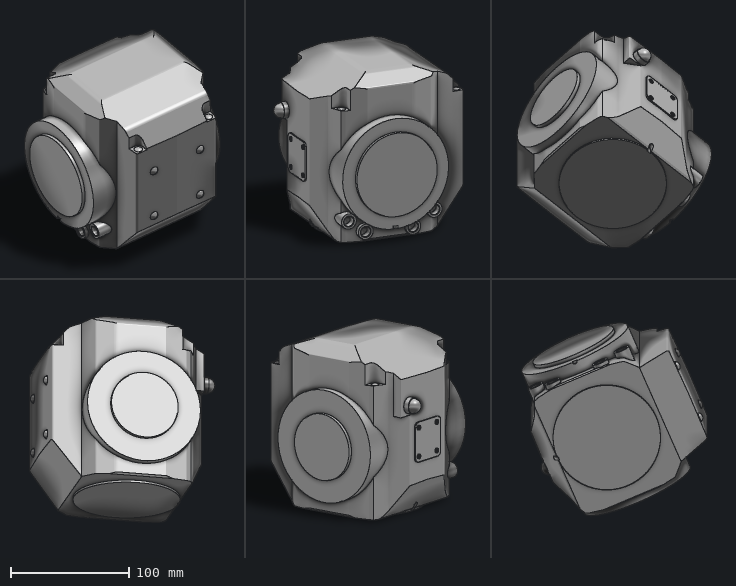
import cadquery as cq
import math

LARGE = 296.8

top_z = 85.9
base_z = -60.1
half_depth = 57.7
side_crown = 0.6
left_crest_x = -60.3
right_crest_x = 75.4
left_x = left_crest_x + side_crown
right_x = right_crest_x - side_crown
left_half_depth = 23.7
right_half_depth = 41.8
flank_slope = math.tan(math.radians(10))
front_flat_left_x = -21.0
front_flat_right_x = 22.1
left_flank_x = -49.3
left_flank_half_depth = 39.8
left_facet_outer_x = -43.5
left_facet_outer_half_depth = 53.0
left_facet_inner_x = -39.6
right_corner_x = 39.3
right_flank_x = 49.4
right_flank_half_depth = 44.4
left_edge_radius = 1.0
front_edge_radius = 22.3
right_corner_radius = 2.2
right_edge_radius = 2.0
roof_radius = 10.4
roof_end_radius = 8.6
eave_radius = 2.1
roof_left_x = -16.8
roof_right_x = 26.1
roof_half_depth = 44.1
roof_front_angle = 38.0
roof_left_angle = 30.0
roof_right_angle = 20.0
shoulder_x = 59.5
left_cut_z = -32.5
right_cut_z = -26.7
base_left_x = -45.4
base_bevel_left_x = -46.9
base_right_x = 49.3
base_bevel_y = 1.0
base_bevel_z = 1.8

lamp_block_end_y = 35.9
lamp_block_inner_x = -51.3
lamp_block_bottom_z = 28.0
lamp_y = 25.0
lamp_z = 37.1
lamp_collar_radius = 7.1
lamp_collar_x = -64.3
lamp_dome_radius = 6.5

flange_radius = 49.0
flange_front_y = -68.5
flange_back_y = 64.9
front_cap_radius = 37.1
front_cap_y = -71.7
back_cap_radius = 29.0
back_cap_y = 68.3
flange_notch_radius = 2.1
flange_notch_top_z = -46.3

pocket_floor_z = 57.0
pocket_block = 74.2
pocket_bolt_radius = 3.5
pocket_bolt_height = 1.3
left_pocket = dict(edge_x=-35.9, edge_y=42.7, radius=5.0, bolt_x=-41.1, bolt_y=48.1, side=-1)
right_pocket = dict(edge_x=64.7, edge_y=31.8, radius=5.0, bolt_x=69.9, bolt_y=37.0, side=1)

side_bolt_radius = 4.0
side_bolt_tip_x = right_crest_x + 2.2
side_bolt_half_pitch = 24.2
side_bolt_mid_z = 6.8

plate_size = 35.0
plate_mid_z = 2.5
plate_corner_radius = 4.5
plate_outer_x = -61.1
plate_screw_half_pitch = 12.5
plate_screw_radius = 2.1
plate_socket_radius = 1.2
plate_ring_depth = 0.7

boss_radius = 6.8
boss_face_y = -60.7
boss_root_y = -37.1
boss_hole_radius = 4.5
boss_hole_depth = 7.4
boss_hole_edge = 0.5
boss_hole_point_slope = math.tan(math.radians(30))
boss_centres = [(-39.6, -39.5), (-24.0, -50.8), (19.9, -52.1), (39.6, -39.5)]

foot_radius = 45.4
foot_bottom_z = -62.0
foot_slot_radius = 2.0
foot_slot_top_z = -54.5
foot_slot_floor_x = -44.5


def rounded_outline(plane, corners):
    """Closed outline through (u, v, radius) corners, each non-zero radius being a tangent arc."""
    outline = cq.Workplane(plane)
    for index, (u, v, radius) in enumerate(corners):
        corner = cq.Vector(u, v)
        before = (cq.Vector(*corners[index - 1][:2]) - corner).normalized()
        after = (cq.Vector(*corners[(index + 1) % len(corners)][:2]) - corner).normalized()
        half_angle = before.getAngle(after) / 2
        tangent = radius / math.tan(half_angle)
        start = corner + before * tangent
        end = corner + after * tangent
        bisector = (before + after).normalized() if radius else before
        middle = corner + bisector * (radius / math.sin(half_angle) - radius)
        if index == 0:
            outline = outline.moveTo(start.x, start.y)
        else:
            outline = outline.lineTo(start.x, start.y)
        if radius:
            outline = outline.threePointArc((middle.x, middle.y), (end.x, end.y))
    return outline.close()


def bar_y(radius, x, z, y_start, y_end):
    """Round bar along Y between two Y positions."""
    length = y_end - y_start
    return cq.Workplane(cq.Solid.makeCylinder(radius, length, cq.Vector(x, y_start, z), cq.Vector(0, 1, 0)))


def bar_x(radius, y, z, x_start, x_end):
    """Round bar along X between two X positions."""
    length = x_end - x_start
    return cq.Workplane(cq.Solid.makeCylinder(radius, length, cq.Vector(x_start, y, z), cq.Vector(1, 0, 0)))


def cap_middle(radius, height):
    """Point halfway along the arc from the base circle to the tip of a spherical cap."""
    sphere_radius = (radius**2 + height**2) / (2 * height)
    half_angle = math.asin(min(1, radius / sphere_radius)) / 2
    return (
        sphere_radius * math.sin(half_angle),
        height - sphere_radius * (1 - math.cos(half_angle)),
    )


def dome(radius, height, centre, direction):
    """Spherical cap standing on its base circle, bulging along the direction."""
    cap = (
        cq.Workplane("XZ")
        .lineTo(radius, 0)
        .threePointArc(cap_middle(radius, height), (0, height))
        .close()
        .revolve(360, (0, 0), (0, 1))
    )
    return cq.Workplane(cap.val().located(cq.Plane(origin=centre, normal=direction).location))


def make_lamp_block():
    """Carries the left face on past its back edge, above the step below the lamp."""
    end_x = left_crest_x + side_crown * lamp_block_end_y / left_half_depth
    block = rounded_outline("XY", [
        (left_crest_x, 0, 0),
        (end_x, lamp_block_end_y, left_edge_radius),
        (lamp_block_inner_x, lamp_block_end_y, 0),
        (lamp_block_inner_x, 0, 0),
    ]).extrude(LARGE)
    return block.translate((0, 0, lamp_block_bottom_z))


def make_housing():
    """Common volume of the plan, front and side profiles of the housing."""
    left_facet_y = half_depth - (front_flat_left_x - left_facet_inner_x) * flank_slope
    right_corner_y = half_depth - (right_corner_x - front_flat_right_x) * flank_slope
    back_half = [
        (left_x, left_half_depth, left_edge_radius),
        (left_flank_x, left_flank_half_depth, 0),
        (left_facet_outer_x, left_facet_outer_half_depth, 0),
        (left_facet_inner_x, left_facet_y, 0),
        (front_flat_left_x, half_depth, 0),
        (front_flat_right_x, half_depth, front_edge_radius),
        (right_corner_x, right_corner_y, right_corner_radius),
        (right_flank_x, right_flank_half_depth, 0),
        (right_x, right_half_depth, right_edge_radius),
    ]
    front_half = [(x, -y, radius) for x, y, radius in reversed(back_half)]
    left_crest = (left_crest_x, 0, 0)
    right_crest = (right_crest_x, 0, 0)
    plan = rounded_outline("XY", [left_crest, *back_half, right_crest, *front_half])
    plan = plan.extrude(LARGE, both=True)
    plan = plan.union(make_lamp_block()).clean()

    left_eave_z = top_z - (roof_left_x - left_crest_x) * math.tan(math.radians(roof_left_angle))
    shoulder_z = top_z - (shoulder_x - roof_right_x) * math.tan(math.radians(roof_right_angle))
    right_eave_z = shoulder_z - (right_crest_x - shoulder_x)
    front_profile = rounded_outline("XZ", [
        (base_left_x, base_z, 0),
        (base_bevel_left_x, base_z + base_bevel_z, 0),
        (left_crest_x, left_cut_z, 0),
        (left_crest_x, left_eave_z, 0),
        (roof_left_x, top_z, roof_radius),
        (roof_right_x, top_z, roof_radius),
        (shoulder_x, shoulder_z, roof_radius),
        (right_crest_x, right_eave_z, 0),
        (right_crest_x, right_cut_z, 0),
        (base_right_x, base_z, 0),
    ]).extrude(LARGE, both=True)

    eave_z = top_z - (half_depth - roof_half_depth) * math.tan(math.radians(roof_front_angle))
    back_edge = [
        (roof_half_depth, top_z, roof_end_radius),
        (half_depth, eave_z, eave_radius),
        (half_depth, base_z + base_bevel_z, 0),
        (half_depth - base_bevel_y, base_z, 0),
    ]
    front_edge = [(-y, z, radius) for y, z, radius in reversed(back_edge)]
    side_profile = rounded_outline("YZ", back_edge + front_edge).extrude(LARGE, both=True)
    return plan.intersect(front_profile).intersect(side_profile)


def make_flanges():
    flanges = bar_y(flange_radius, 0, 0, flange_front_y, flange_back_y)
    flanges = flanges.union(bar_y(front_cap_radius, 0, 0, front_cap_y, 0))
    flanges = flanges.union(bar_y(back_cap_radius, 0, 0, 0, back_cap_y))
    notch = (
        cq.Workplane("XY", origin=(0, flange_front_y, flange_notch_top_z))
        .circle(flange_notch_radius)
        .extrude(-flange_radius - flange_notch_top_z)
    )
    return flanges.cut(notch)


def make_pocket(pocket, end):
    """Pocket open to the roof and both outer sides; end is +1 at the back, -1 at the front."""
    return (
        cq.Workplane("XY", origin=(
            pocket["edge_x"] + pocket["side"] * pocket_block / 2,
            end * (pocket["edge_y"] + pocket_block / 2),
            pocket_floor_z,
        ))
        .rect(pocket_block, pocket_block)
        .extrude(pocket_block)
        .edges("|Z")
        .fillet(pocket["radius"])
    )


def make_lamp():
    collar = bar_x(lamp_collar_radius, lamp_y, lamp_z, lamp_collar_x, lamp_block_inner_x)
    dome_seat = (lamp_collar_x, lamp_y, lamp_z)
    return collar.union(dome(lamp_dome_radius, lamp_dome_radius, dome_seat, (-1, 0, 0)))


def make_cover_plate():
    thickness = left_x - plate_outer_x
    plate = (
        cq.Workplane("YZ", origin=(plate_outer_x, 0, plate_mid_z))
        .rect(plate_size, plate_size)
        .extrude(thickness)
        .edges("|X")
        .fillet(plate_corner_radius)
    )
    rings = (
        cq.Workplane("YZ", origin=(plate_outer_x, 0, plate_mid_z))
        .rect(2 * plate_screw_half_pitch, 2 * plate_screw_half_pitch, forConstruction=True)
        .vertices()
        .circle(plate_screw_radius)
        .circle(plate_socket_radius)
        .extrude(plate_ring_depth)
    )
    return plate.cut(rings)


def make_boss(x, z):
    return bar_y(boss_radius, x, z, boss_face_y, boss_root_y)


def make_boss_hole(x, z):
    """Blind hole with a bevelled rim and a conical drill point."""
    rim_radius = boss_hole_radius + boss_hole_edge
    drill_point = boss_hole_radius * boss_hole_point_slope
    return (
        cq.Workplane("XY", origin=(x, boss_face_y, z))
        .lineTo(rim_radius, 0)
        .lineTo(boss_hole_radius, boss_hole_edge)
        .lineTo(boss_hole_radius, boss_hole_depth)
        .lineTo(0, boss_hole_depth + drill_point)
        .close()
        .revolve(360, (0, 0), (0, 1))
    )


def make_foot():
    height = base_z - foot_bottom_z
    return cq.Workplane("XY", origin=(0, 0, foot_bottom_z)).circle(foot_radius).extrude(height)


def make_foot_slot():
    """Round-topped slot through the left edge of the foot and the lower left cut."""
    centre_z = foot_slot_top_z - foot_slot_radius
    slot_start_x = left_crest_x
    slot = bar_x(foot_slot_radius, 0, centre_z, slot_start_x, foot_slot_floor_x)
    length = foot_slot_floor_x - slot_start_x
    leg = cq.Workplane("XY", origin=(slot_start_x + length / 2, 0, foot_bottom_z)).box(
        length, 2 * foot_slot_radius, centre_z - foot_bottom_z, centered=(True, True, False)
    )
    return slot.union(leg)


body = make_housing()
for corner_pocket in (left_pocket, right_pocket):
    for end in (-1, 1):
        body = body.cut(make_pocket(corner_pocket, end))
        bolt_seat = (corner_pocket["bolt_x"], end * corner_pocket["bolt_y"], pocket_floor_z)
        body = body.union(dome(pocket_bolt_radius, pocket_bolt_height, bolt_seat, (0, 0, 1)))

body = body.union(make_flanges()).union(make_foot())
body = body.union(make_lamp()).union(make_cover_plate())
for boss_x, boss_z in boss_centres:
    body = body.union(make_boss(boss_x, boss_z)).cut(make_boss_hole(boss_x, boss_z))

bolt_height = side_bolt_tip_x - right_x
for y in (-side_bolt_half_pitch, side_bolt_half_pitch):
    for z in (side_bolt_mid_z - side_bolt_half_pitch, side_bolt_mid_z + side_bolt_half_pitch):
        body = body.union(dome(side_bolt_radius, bolt_height, (right_x, y, z), (1, 0, 0)))

result = body.cut(make_foot_slot())